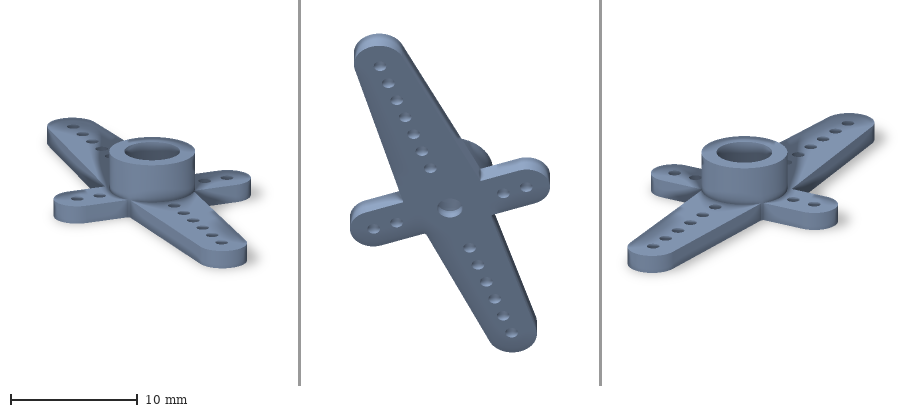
import cadquery as cq
import math

plate_thickness = 1.45
total_height = 4.55

hub_diameter = 6.8
socket_diameter = 4.4
socket_floor_z = 2.05
recess_diameter = 2.6
recess_floor_z = 0.75
screw_hole_diameter = 2.0

long_arm_reach = 18.2
long_arm_tip_radius = 2.0
long_arm_root_radius = hub_diameter / 2
short_arm_reach = 16.2
short_arm_tip_radius = 1.95
short_arm_root_radius = 2.85

cross_arm_length = 16.6
cross_arm_width = 3.7

link_hole_diameter = 1.0
first_hole_distance = 4.5
hole_pitch = 1.92
long_arm_holes = 7
short_arm_holes = 6
cross_arm_holes = 2


def tapered_arm(root_radius, tip_radius, reach, side):
    """Arm whose straight edges are tangent to a root circle and a tip circle; side is +1 or -1 in X."""
    tip_center = reach - tip_radius
    taper_sin = (root_radius - tip_radius) / tip_center
    taper_cos = math.sqrt(1 - taper_sin**2)
    root_x = side * root_radius * taper_sin
    root_y = root_radius * taper_cos
    tip_x = side * (tip_center + tip_radius * taper_sin)
    tip_y = tip_radius * taper_cos
    return (
        cq.Workplane("XY")
        .moveTo(root_x, -root_y)
        .lineTo(tip_x, -tip_y)
        .threePointArc((side * reach, 0), (tip_x, tip_y))
        .lineTo(root_x, root_y)
        .threePointArc((-side * root_radius, 0), (root_x, -root_y))
        .close()
        .extrude(plate_thickness)
    )


def cross_arms():
    """Round-ended bar that forms both arms along Y."""
    return cq.Workplane("XY").slot2D(cross_arm_length, cross_arm_width, 90).extrude(plate_thickness)


def hub():
    """Cylindrical boss standing on the underside plane of the plate."""
    return cq.Workplane("XY").circle(hub_diameter / 2).extrude(total_height)


def bore(diameter, floor_z):
    """Cutter on the hub axis, from floor_z up to the top of the hub."""
    depth = total_height - floor_z
    return cq.Workplane("XY").workplane(offset=floor_z).circle(diameter / 2).extrude(depth)


def link_holes(direction_x, direction_y, count):
    """Cutters for one row of link holes running outward from the hub."""
    distances = [first_hole_distance + i * hole_pitch for i in range(count)]
    centers = [(direction_x * d, direction_y * d) for d in distances]
    return cq.Workplane("XY").pushPoints(centers).circle(link_hole_diameter / 2).extrude(plate_thickness)


result = tapered_arm(long_arm_root_radius, long_arm_tip_radius, long_arm_reach, -1)
result = result.union(tapered_arm(short_arm_root_radius, short_arm_tip_radius, short_arm_reach, 1))
result = result.union(cross_arms())
result = result.union(hub())

result = result.cut(bore(socket_diameter, socket_floor_z))
result = result.cut(bore(recess_diameter, recess_floor_z))
result = result.cut(bore(screw_hole_diameter, 0))

result = result.cut(link_holes(-1, 0, long_arm_holes))
result = result.cut(link_holes(1, 0, short_arm_holes))
result = result.cut(link_holes(0, 1, cross_arm_holes))
result = result.cut(link_holes(0, -1, cross_arm_holes))